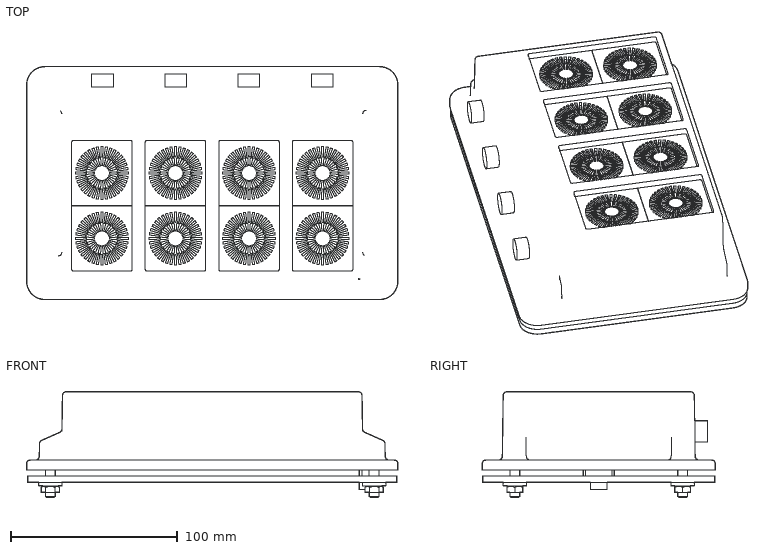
import cadquery as cq
import math


flange_length, flange_width, flange_corner = 223.0, 140.0, 11.2
flange_bottom, flange_top = 16.5, 22.5
flange_edge_radius = 2.2
housing_top = 63.5
housing_half_length, housing_half_width = 90.5, 58.0
draft_angle = 0.8
convex_radius = 2.5
lug_root_radius = 2.0
foot_radius = 2.2

lug_half_length = 104.0
lug_width = 14.5
lug_corner = 6.0
lug_end_height = 33.7
lug_slope = 24.0

bay_count, bay_pitch = 4, 44.2
bay_width, bay_back_y, bay_depth, bay_corner = 36.3, 25.6, 4.0, 1.1
module_length, modules_per_bay = 39.2, 2
joint_width, joint_depth = 0.11, 0.11

grille_rings = [(4.5, 9.1, 18), (9.5, 15.8, 36)]
slot_depth = 2.2

socket_pitch, socket_diameter, socket_end_y, socket_z = 44.0, 13.0, 65.3, 39.7

plate_length, plate_width, plate_corner = 221.7, 139.4, 11.0
plate_bottom, plate_top = 9.1, 13.0

stud_x, stud_y, stud_diameter, stud_chamfer = 97.2, 50.5, 6.0, 0.7
washer_radius, washer_thickness, washer_bulge = 7.0, 2.2, 0.2
nut_across_flats, nut_height, nut_chamfer = 9.5, 3.8, 1.0

block_x, block_length, block_width, block_chamfer = 93.2, 10.0, 18.7, 1.5
knob_diameter, knob_bottom = 10.0, 4.7

housing_height = housing_top - flange_top
lug_inner_y = housing_half_width - lug_width
bay_length = module_length * modules_per_bay
bay_floor = housing_top - bay_depth
washer_bottom = plate_bottom - washer_thickness
nut_bottom = washer_bottom - nut_height
nut_across_corners = nut_across_flats / math.cos(math.radians(30))
touch = 0.02


def centred_row(count, pitch):
    return [(i - (count - 1) / 2) * pitch for i in range(count)]


def box_between(length, width, bottom, top, center=(0, 0)):
    return cq.Workplane("XY", origin=(*center, bottom)).rect(length, width).extrude(top - bottom)


def cylinder(x, y, diameter, bottom, top):
    return cq.Workplane("XY", origin=(x, y, bottom)).circle(diameter / 2).extrude(top - bottom)


def drafted_block(length, width, center_y):
    """Block on the flange whose four sides lean inward by the draft angle."""
    base = cq.Workplane("XY", origin=(0, center_y, flange_top)).rect(length, width)
    return base.extrude(housing_height, taper=draft_angle)


def pick_edges(part, test):
    return part.newObject([edge for edge in part.edges().vals() if test(edge)])


def lug_envelope():
    """Outline of the lugs along X: upright ends, then slopes rising into the end walls."""
    inner_x = housing_half_length - lug_width
    rise = (lug_half_length - inner_x) * math.tan(math.radians(lug_slope))
    outline = [
        (-lug_half_length, flange_top),
        (lug_half_length, flange_top),
        (lug_half_length, lug_end_height),
        (inner_x, lug_end_height + rise),
        (-inner_x, lug_end_height + rise),
        (-lug_half_length, lug_end_height),
    ]
    return cq.Workplane("XZ").polyline(outline).close().extrude(housing_half_width, both=True)


def lug_pair(side):
    """Strip along one long wall whose rounded ends form two lugs."""
    strip = drafted_block(2 * lug_half_length, lug_width, side * (housing_half_width - lug_width / 2))
    strip = strip.edges("not(|X or |Y)").fillet(lug_corner)
    return strip.intersect(lug_envelope())


def is_lug_root(edge):
    """True for the inner corners where a lug meets an end wall."""
    middle = edge.Center()
    beside_end_wall = abs(abs(middle.x) - housing_half_length) < convex_radius
    beside_lug = lug_inner_y - convex_radius < abs(middle.y) < housing_half_width - touch
    below_rim = middle.z < housing_top - housing_height / 2
    return beside_end_wall and beside_lug and below_rim and above_foot(edge)


def above_foot(edge):
    """True for edges that reach above the flange and do not lie on it."""
    return edge.Center().z > flange_top + touch


def is_convex_edge(edge):
    return min(edge.startPoint().z, edge.endPoint().z) > flange_top + touch and not is_lug_root(edge)


def housing():
    shell = drafted_block(2 * housing_half_length, 2 * housing_half_width, 0)
    for side in (1, -1):
        shell = shell.union(lug_pair(side))
    shell = pick_edges(shell, is_convex_edge).fillet(convex_radius)
    return pick_edges(shell, is_lug_root).fillet(lug_root_radius)


def is_foot_edge(edge):
    """True for the line around the housing and lugs where they meet the flange."""
    middle = edge.Center()
    on_flange = max(abs(p.z - flange_top) for p in (edge.startPoint(), middle, edge.endPoint())) < touch
    inside_rim = abs(middle.x) < lug_half_length + touch and abs(middle.y) < housing_half_width + touch
    return on_flange and inside_rim


def cover():
    flange = box_between(flange_length, flange_width, flange_bottom, flange_top)
    flange = flange.edges("|Z").fillet(flange_corner)
    flange = flange.faces(">Z").edges().fillet(flange_edge_radius)
    return pick_edges(flange.union(housing()), is_foot_edge).fillet(foot_radius)


def polar(radius, angle):
    return (radius * math.cos(angle), radius * math.sin(angle))


def radial_slot(x, y, inner, outer, start, sweep):
    """Ring-sector slot sunk into the bay floor."""
    middle = start + sweep / 2
    end = start + sweep
    outline = (
        cq.Workplane("XY", origin=(x, y, bay_floor - slot_depth))
        .moveTo(*polar(inner, start))
        .lineTo(*polar(outer, start))
        .threePointArc(polar(outer, middle), polar(outer, end))
        .lineTo(*polar(inner, end))
        .threePointArc(polar(inner, middle), polar(inner, start))
        .close()
    )
    return outline.extrude(slot_depth).val()


def grille_slots(x, y):
    slots = []
    for inner, outer, count in grille_rings:
        pitch = 2 * math.pi / count
        for i in range(count):
            slots.append(radial_slot(x, y, inner, outer, (i - 0.25) * pitch, pitch / 2))
    return slots


def cut_fan_bays(part):
    details = []
    for x in centred_row(bay_count, bay_pitch):
        bay = box_between(bay_width, bay_length, bay_floor, housing_top, (x, bay_back_y - bay_length / 2))
        part = part.cut(bay.edges("|Z").fillet(bay_corner))
        for i in range(modules_per_bay):
            details += grille_slots(x, bay_back_y - (i + 0.5) * module_length)
        for i in range(1, modules_per_bay):
            joint_center = (x, bay_back_y - i * module_length)
            joint = box_between(bay_width, joint_width, bay_floor - joint_depth, bay_floor, joint_center)
            details.append(joint.val())
    return part.cut(cq.Workplane(cq.Compound.makeCompound(details)))


def sockets():
    centers = [(x, socket_z) for x in centred_row(bay_count, socket_pitch)]
    return cq.Workplane("XZ").pushPoints(centers).circle(socket_diameter / 2).extrude(-socket_end_y)


def back_plate():
    plate = box_between(plate_length, plate_width, plate_bottom, plate_top)
    return plate.edges("|Z").fillet(plate_corner)


def washer(x, y):
    """Disc with a slightly rounded rim."""
    rim_middle = (washer_radius + washer_bulge, plate_bottom - washer_thickness / 2)
    half_section = (
        cq.Workplane("XZ")
        .moveTo(0, washer_bottom)
        .lineTo(washer_radius, washer_bottom)
        .threePointArc(rim_middle, (washer_radius, plate_bottom))
        .lineTo(0, plate_bottom)
        .close()
    )
    return half_section.revolve(360, (0, 0), (0, 1)).translate((x, y, 0))


def nut(x, y):
    """Hex nut with corners along X, chamfered next to the washer."""
    hexagon = (
        cq.Workplane("XY", origin=(x, y, nut_bottom))
        .polygon(6, nut_across_corners)
        .extrude(nut_height)
    )
    chamfered = cylinder(x, y, nut_across_corners, nut_bottom, washer_bottom)
    return hexagon.intersect(chamfered.faces(">Z").chamfer(nut_chamfer))


def fastener(x, y):
    stud = cylinder(x, y, stud_diameter, 0, flange_bottom).faces("<Z").chamfer(stud_chamfer)
    return stud.union(washer(x, y)).union(nut(x, y))


def outlet():
    block = box_between(block_length, block_width, plate_top, flange_bottom, (block_x, 0))
    block = block.edges("|Z").chamfer(block_chamfer)
    return block.union(cylinder(block_x, 0, knob_diameter, knob_bottom, plate_top))


result = cover().union(sockets())
result = cut_fan_bays(result)
result = result.union(back_plate()).union(outlet())
for x in (stud_x, -stud_x):
    for y in (stud_y, -stud_y):
        result = result.union(fastener(x, y))